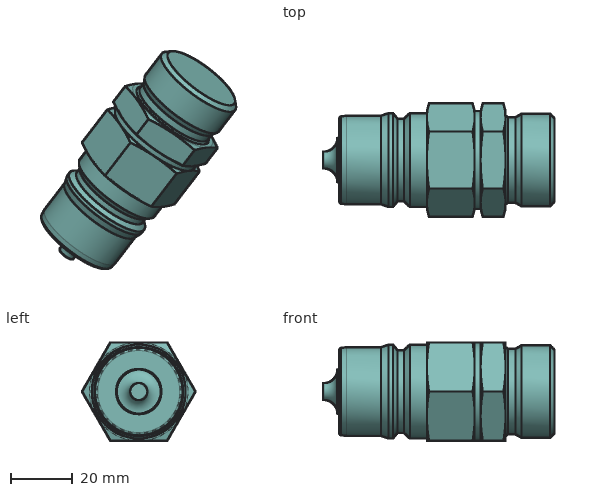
import cadquery as cq
import math

length = 75.3
across_flats = 32.0
across_corners = across_flats / math.cos(math.radians(30))

tip_radius = 2.8
tip_straight = 0.4
flare_end = 4.7
flare_radius = 7.15
poppet_radius = 7.4
flare_mid_angle = math.radians(45)

face_x = 5.3
face_radius = 13.3
rim_fillet = 1.0
rim_end = 5.9
rim_radius = 14.2
nose_end = 7.75
plug_radius = 14.45

ramp_start = 18.9
collar_start = 21.4
collar_end = 22.7
collar_radius = 15.3
groove_start = 24.25
groove_end = 26.35
groove_radius = 13.5
shoulder_start = 28.2

hex_start = 33.8
ring_start = 49.3
ring_end = 51.3
hex_end = 59.3
ring_radius = across_flats / 2
hex_chamfer = 0.7

neck_entry_radius = 14.45
neck_start = 60.1
neck_end = 62.6
neck_radius = 13.9
thread_start = 64.6
thread_radius = 15.05
end_chamfer = 1.5


def make_turned_body():
    """Revolve the half profile, drawn as (axial position, radius), about X."""
    flare_mid = (
        tip_straight + (flare_end - tip_straight) * math.sin(flare_mid_angle),
        flare_radius - (flare_radius - tip_radius) * math.cos(flare_mid_angle),
    )
    return (
        cq.Workplane("XY")
        .moveTo(0, 0)
        .lineTo(0, tip_radius)
        .lineTo(tip_straight, tip_radius)
        .threePointArc(flare_mid, (flare_end, flare_radius))
        .lineTo(face_x, poppet_radius)
        .lineTo(face_x, face_radius)
        .radiusArc((rim_end, rim_radius), rim_fillet)
        .lineTo(nose_end, plug_radius)
        .lineTo(ramp_start, plug_radius)
        .lineTo(collar_start, collar_radius)
        .lineTo(collar_end, collar_radius)
        .lineTo(groove_start, groove_radius)
        .lineTo(groove_end, groove_radius)
        .lineTo(shoulder_start, collar_radius)
        .lineTo(hex_start, collar_radius)
        .lineTo(hex_start, ring_radius)
        .lineTo(hex_end, ring_radius)
        .lineTo(hex_end, neck_entry_radius)
        .lineTo(neck_start, neck_radius)
        .lineTo(neck_end, neck_radius)
        .lineTo(thread_start, thread_radius)
        .lineTo(length - end_chamfer, thread_radius)
        .lineTo(length, thread_radius - end_chamfer)
        .lineTo(length, 0)
        .close()
        .revolve(360, (0, 0, 0), (1, 0, 0))
    )


def make_hexagon(start, end):
    """Hexagonal prism with corners along Y, its corners turned conical at both ends."""
    corner_radius = across_corners / 2
    prism = (
        cq.Workplane("YZ", origin=(start, 0, 0))
        .polygon(6, across_corners)
        .extrude(end - start)
    )
    cone_envelope = (
        cq.Workplane("XY")
        .moveTo(start, 0)
        .lineTo(start, ring_radius)
        .lineTo(start + hex_chamfer, corner_radius)
        .lineTo(end - hex_chamfer, corner_radius)
        .lineTo(end, ring_radius)
        .lineTo(end, 0)
        .close()
        .revolve(360, (0, 0, 0), (1, 0, 0))
    )
    return prism.intersect(cone_envelope)


result = make_turned_body()
for start, end in ((hex_start, ring_start), (ring_end, hex_end)):
    result = result.union(make_hexagon(start, end))